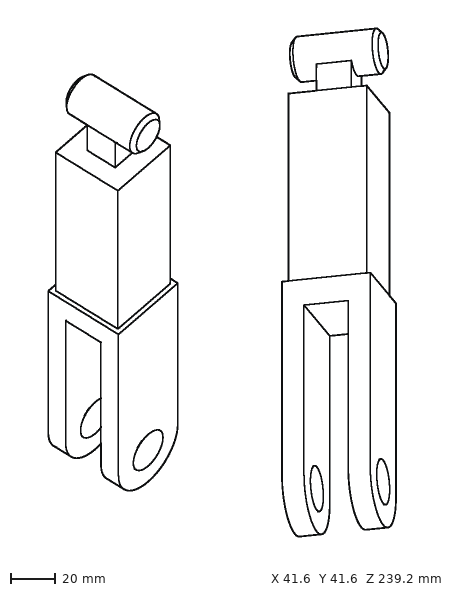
import cadquery as cq

total_height = 239.2
fork_width = 41.6
fork_top = 114.3
slot_top = 102.0
shank_width = 36.8
shank_top = 205.7
neck_width = 16.5
pin_chamfer = 2.2

end_radius = fork_width / 2
slot_width = fork_width / 2
hole_diameter = fork_width / 2
pin_radius = fork_width / 4
pin_axis_height = total_height - pin_radius


def square_bar(width, bottom, top):
    """Vertical square bar centred on the Z axis."""
    return cq.Workplane("XY").workplane(offset=bottom).rect(width, width).extrude(top - bottom)


def cross_cylinder(radius, height):
    """Cylinder along X across the full fork width, with its axis at the given height."""
    end_plane = cq.Workplane("YZ", origin=(-fork_width / 2, 0, height))
    return end_plane.circle(radius).extrude(fork_width)


def make_fork():
    """Round-ended bar with a slot between two arms and a cross hole."""
    bar = square_bar(fork_width, end_radius, fork_top)
    rounded_end = cross_cylinder(end_radius, end_radius)
    slot = cq.Workplane("XY").rect(slot_width, fork_width).extrude(slot_top)
    hole = cross_cylinder(hole_diameter / 2, end_radius)
    return bar.union(rounded_end).cut(slot).cut(hole)


def make_pin():
    """Cross pin with chamfered ends."""
    return cross_cylinder(pin_radius, pin_axis_height).faces("<X or >X").chamfer(pin_chamfer)


shank = square_bar(shank_width, fork_top, shank_top)
neck = square_bar(neck_width, shank_top, pin_axis_height)

result = make_fork().union(shank).union(neck).union(make_pin())